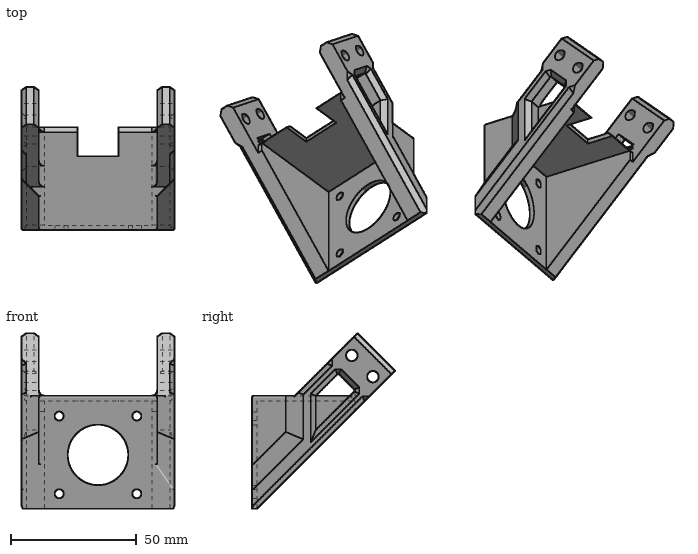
import cadquery as cq
import math

width = 61.0
depth = 57.05
height = 69.9
half_width = width / 2

box_half_width = 23.5
wall = 2.0
box_height = 45.1
box_depth = 41.0
foot_depth = 2.1
edge_radius = 1.0
notch_width = 16.2
notch_front = 29.4

motor_height = 21.45
motor_bore = 24.0
screw_hole = 3.5
screw_spacing = 30.9

arm_thickness = half_width - box_half_width
chamfer = 2.0
arm_tip_lower = (depth, depth - foot_depth)
arm_tip_upper = (depth + arm_tip_lower[1] - height, height)
upper_rise = arm_tip_upper[1] - arm_tip_upper[0]
arm_root = box_height - upper_rise
tip_sum = sum(arm_tip_lower)
upper_chamfer_end = 31.95
lower_chamfer_top = 44.8
pin_hole = 4.5
pin_centres = [(39.8, 61.0), (48.2, 52.6)]

window_front = 23.4
window_lower_rise = 3.1
window_upper_rise = 22.4
window_back = 42.8
window_top = 55.6
window_tip_sum = 91.1

pocket_depth = 20.5
pocket_rise = 7.2

taper_angle = 45
overcut = 69.9
diagonal = chamfer * math.sqrt(2)


def side_prism(points, start, thickness, taper=0):
    """Extrude a (Y, Z) outline toward +X from X = start, or toward -X if thickness is negative."""
    if thickness < 0:
        mirrored = side_prism(points, -start, -thickness, taper)
        return mirrored.mirror("YZ")
    return cq.Workplane("YZ", origin=(start, 0, 0)).polyline(points).close().extrude(thickness, taper=taper)


body_outline = [
    (0, 0),
    (foot_depth, 0),
    arm_tip_lower,
    arm_tip_upper,
    (arm_root, box_height),
    (0, box_height),
]


def make_box():
    """Solid box body under the plate level, cut off square to the arms at the back."""
    bevel_front = box_depth - wall
    outline = [
        (0, 0),
        (foot_depth, 0),
        (box_depth, box_depth - foot_depth),
        (box_depth, box_height - wall),
        (bevel_front, box_height),
        (0, box_height),
    ]
    return side_prism(outline, -box_half_width, 2 * box_half_width)


def outer_arm_layer():
    """Outer skin of the arm; its edges slope at 45 degrees to form the chamfers."""
    upper_line = upper_rise - diagonal
    lower_line = diagonal - foot_depth
    end_sum = tip_sum - diagonal
    tip_lower_y = (end_sum + foot_depth) / 2
    tip_upper_y = (end_sum - upper_rise) / 2
    overhang = 2 * chamfer
    outline = [
        (-overcut, -overcut + lower_line),
        (lower_chamfer_top - lower_line, lower_chamfer_top),
        (lower_chamfer_top + foot_depth + overhang, lower_chamfer_top),
        (tip_lower_y + overhang, end_sum - tip_lower_y - overhang),
        (tip_upper_y - overhang, end_sum - tip_upper_y + overhang),
        (upper_chamfer_end, upper_chamfer_end + upper_rise + overhang),
        (upper_chamfer_end, upper_chamfer_end + upper_line),
        (-overcut, -overcut + upper_line),
    ]
    return side_prism(outline, half_width, -chamfer, -taper_angle)


def make_arm():
    """Right arm with its chamfers, window and corner pocket."""
    arm = side_prism(body_outline, box_half_width, arm_thickness)
    core = side_prism(body_outline, box_half_width, arm_thickness - chamfer)
    arm = core.union(arm.intersect(outer_arm_layer()))

    tip_middle_y = (arm_tip_lower[0] + arm_tip_upper[0]) / 2
    tip_middle_z = (arm_tip_lower[1] + arm_tip_upper[1]) / 2
    inner_tip_edge = cq.selectors.NearestToPointSelector((box_half_width, tip_middle_y, tip_middle_z))
    arm = arm.edges(inner_tip_edge).chamfer(chamfer)

    strip = (
        cq.Workplane("XZ")
        .moveTo(box_half_width, box_height)
        .lineTo(box_half_width - wall, box_height)
        .radiusArc((box_half_width, box_height + wall), -wall)
        .close()
        .extrude(-box_depth)
    )
    strip = strip.intersect(side_prism(body_outline, 0, half_width))
    arm = arm.union(strip)

    rim = [
        (window_front, window_front + window_lower_rise),
        (window_back, window_back + window_lower_rise),
        (window_back, window_tip_sum - window_back),
        (window_tip_sum - window_top, window_top),
        (window_top - window_upper_rise, window_top),
        (window_front, window_front + window_upper_rise),
    ]
    lower_rise = window_lower_rise + diagonal
    upper_line = window_upper_rise - diagonal
    inner_sum = window_tip_sum - diagonal
    inner_front = window_front + chamfer
    opening = [
        (inner_front, inner_front + lower_rise),
        ((inner_sum - lower_rise) / 2, (inner_sum + lower_rise) / 2),
        ((inner_sum - upper_line) / 2, (inner_sum + upper_line) / 2),
        (inner_front, inner_front + upper_line),
    ]
    arm = arm.cut(side_prism(rim, half_width, -chamfer, taper_angle))
    arm = arm.cut(side_prism(opening, 0, half_width))

    pocket = [
        (-overcut, pocket_rise - overcut),
        (pocket_depth, pocket_depth + pocket_rise),
        (pocket_depth, overcut),
        (-overcut, overcut),
    ]
    arm = arm.cut(side_prism(pocket, half_width, -arm_thickness, taper_angle))

    pins = cq.Workplane("YZ").pushPoints(pin_centres).circle(pin_hole / 2).extrude(half_width)
    return arm.cut(pins)


def corner_box(x_limits, y_limits, z_limits):
    """Box between two limits along each axis."""
    lengths = [high - low for low, high in (x_limits, y_limits, z_limits)]
    corner = (x_limits[0], y_limits[0], z_limits[0])
    return cq.Workplane("XY").box(*lengths, centered=False).translate(corner)


def edges_in_box(body, low, high):
    """Edges whose centre lies between two opposite corners."""
    return body.edges(cq.selectors.BoxSelector(low, high))


def round_front_edges(body):
    """Round the front face outline above the foot and the upper rim of both corner pockets."""
    margin = 0.1
    edges = edges_in_box(
        body,
        (-half_width - margin, -margin, foot_depth),
        (half_width + margin, margin, box_height + margin),
    )
    for side in (-1, 1):
        pocket_rim = edges_in_box(
            body,
            (side * (box_half_width - margin), margin, box_height - margin),
            (side * (half_width - chamfer), pocket_depth, height),
        ).edges("not |X")
        edges = edges.add(pocket_rim)
    return edges.fillet(edge_radius)


def cut_openings(body):
    """Hollow out the box, notch the top plate and drill the motor holes in the front plate."""
    inner_half_width = box_half_width - wall
    inner_limits = (-inner_half_width, inner_half_width)
    body = body.cut(corner_box(inner_limits, (wall, depth), (-wall, box_height - wall)))

    notch_limits = (-notch_width / 2, notch_width / 2)
    body = body.cut(corner_box(notch_limits, (notch_front, depth), (0, height)))

    motor_face = cq.Workplane("XZ", origin=(0, 0, motor_height))
    bore = motor_face.circle(motor_bore / 2).extrude(-wall)
    screws = motor_face.rect(screw_spacing, screw_spacing, forConstruction=True).vertices()
    return body.cut(bore).cut(screws.circle(screw_hole / 2).extrude(-wall))


right_arm = make_arm()
left_arm = right_arm.mirror("YZ")
body = make_box().union(right_arm).union(left_arm)
result = cut_openings(round_front_edges(body))